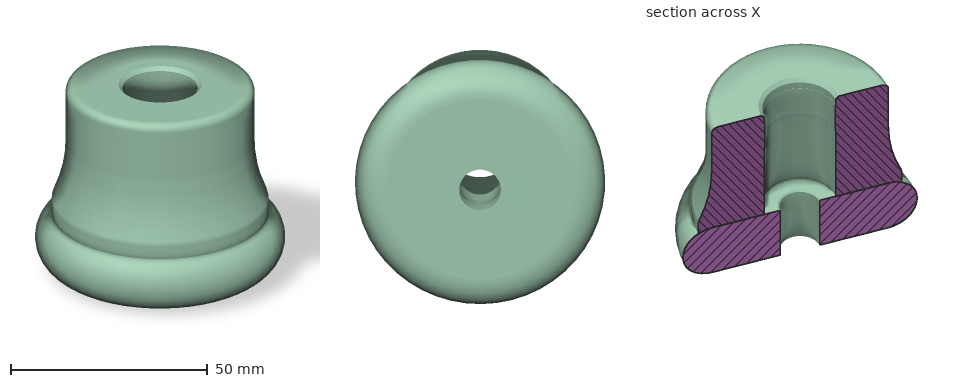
import cadquery as cq
import math

base_radius = 31.75
base_height = 15.9
base_hole_radius = 5.3
base_hole_chamfer = 0.4

knob_top = 50.8
neck_radius = 24.0
neck_bottom = 35.3
collar_radius = 27.55
collar_top = 18.4
collar_blend_radius = 3.0
top_fillet = 2.05

land_radius = 9.5
mouth_radius = 9.6
relief_radius = 9.65
bore_chamfer = 0.95
land_top = 47.8
land_bottom = 39.2


def make_base_blank():
    """Solid disc whose rim is a half circle."""
    rim_radius = base_height / 2
    flat_radius = base_radius - rim_radius
    return (
        cq.Workplane("XZ")
        .lineTo(flat_radius, 0)
        .threePointArc((base_radius, rim_radius), (flat_radius, base_height))
        .lineTo(0, base_height)
        .close()
        .revolve(360, (0, 0, 0), (0, 1, 0))
    )


def make_base():
    """Base disc with its central through hole, chamfered at the top."""
    hole = cq.Workplane("XY").circle(base_hole_radius).extrude(base_height)
    return (
        make_base_blank()
        .cut(hole)
        .faces(">Z")
        .edges(cq.selectors.RadiusNthSelector(0))
        .chamfer(base_hole_chamfer)
    )


def make_knob_blank():
    """Outer shape: collar, rounded shoulder, concave flare and cylindrical neck."""
    flare_width = collar_radius - neck_radius
    flare_height = neck_bottom - collar_top
    flare_angle = 2 * math.atan(flare_width / flare_height)
    flare_radius = flare_height / math.sin(flare_angle) - collar_blend_radius
    blend_center_x = collar_radius - collar_blend_radius
    flare_center_x = neck_radius + flare_radius

    def blend_point(angle):
        return (
            blend_center_x + collar_blend_radius * math.cos(angle),
            collar_top + collar_blend_radius * math.sin(angle),
        )

    def flare_point(angle):
        return (
            flare_center_x - flare_radius * math.cos(angle),
            neck_bottom - flare_radius * math.sin(angle),
        )

    return (
        cq.Workplane("XZ")
        .lineTo(collar_radius, 0)
        .lineTo(collar_radius, collar_top)
        .threePointArc(blend_point(flare_angle / 2), blend_point(flare_angle))
        .threePointArc(flare_point(flare_angle / 2), (neck_radius, neck_bottom))
        .lineTo(neck_radius, knob_top)
        .lineTo(0, knob_top)
        .close()
        .revolve(360, (0, 0, 0), (0, 1, 0))
        .faces(">Z")
        .edges()
        .fillet(top_fillet)
    )


def make_bore():
    """Tool for the stepped bore and its chamfered mouth."""
    return (
        cq.Workplane("XZ")
        .lineTo(relief_radius, 0)
        .lineTo(relief_radius, land_bottom)
        .lineTo(land_radius, land_bottom)
        .lineTo(land_radius, land_top)
        .lineTo(mouth_radius, land_top)
        .lineTo(mouth_radius, knob_top - bore_chamfer)
        .lineTo(mouth_radius + bore_chamfer, knob_top)
        .lineTo(0, knob_top)
        .close()
        .revolve(360, (0, 0, 0), (0, 1, 0))
    )


def make_knob():
    """Bored knob, seated on the rounded top of the base."""
    clearance = cq.Workplane("XY").circle(base_radius).extrude(base_height / 2)
    return make_knob_blank().cut(clearance).cut(make_base_blank()).cut(make_bore())


base = make_base()
knob = make_knob()

result = cq.Compound.makeCompound([base.solids().val(), knob.solids().val()])